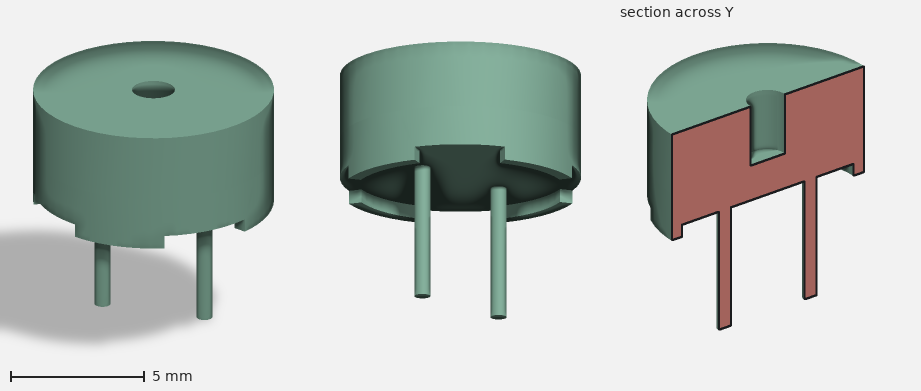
import cadquery as cq
import math

body_diameter = 9.0
body_height = 4.5
total_height = 9.0
seam_depth = 2.5

hole_diameter = 1.6
hole_depth = seam_depth

foot_count = 4
foot_height = 0.5
foot_angle = 46.0
foot_inner_diameter = 8.0

pin_diameter = 0.6
pin_spacing = 4.0

pin_length = total_height - body_height
seam_level = body_height - seam_depth


def make_body():
    """Upper shell and base, stacked, with a blind sound hole."""
    base = (
        cq.Workplane("XY")
        .circle(body_diameter / 2)
        .extrude(seam_level)
    )
    shell = (
        cq.Workplane("XY")
        .workplane(offset=seam_level)
        .circle(body_diameter / 2)
        .extrude(seam_depth)
    )
    hole = (
        cq.Workplane("XY")
        .workplane(offset=body_height - hole_depth)
        .circle(hole_diameter / 2)
        .extrude(hole_depth)
    )
    return base.union(shell, clean=False).cut(hole, clean=False)


def make_foot_gap(middle_angle):
    """Wedge with radial sides that clears the space between two feet."""
    pitch = 360 / foot_count
    half_angle = math.radians(pitch - foot_angle) / 2
    wedge_radius = body_diameter
    corner_x = wedge_radius * math.cos(half_angle)
    corner_y = wedge_radius * math.sin(half_angle)
    return (
        cq.Workplane("XY")
        .polyline([(0, 0), (corner_x, -corner_y), (corner_x, corner_y)])
        .close()
        .extrude(foot_height)
        .rotate((0, 0, 0), (0, 0, 1), middle_angle)
    )


def make_underside_cut():
    """Round recess inside the feet, joined to the gaps between them."""
    cut = cq.Workplane("XY").circle(foot_inner_diameter / 2).extrude(foot_height)
    for index in range(foot_count):
        cut = cut.union(make_foot_gap((index + 0.5) * 360 / foot_count))
    return cut


def make_pins():
    """Two round pins hanging from the base along the X axis."""
    return (
        cq.Workplane("XY")
        .workplane(offset=foot_height)
        .pushPoints([(-pin_spacing / 2, 0), (pin_spacing / 2, 0)])
        .circle(pin_diameter / 2)
        .extrude(-(foot_height + pin_length))
    )


result = make_body().cut(make_underside_cut(), clean=False).union(make_pins(), clean=False)